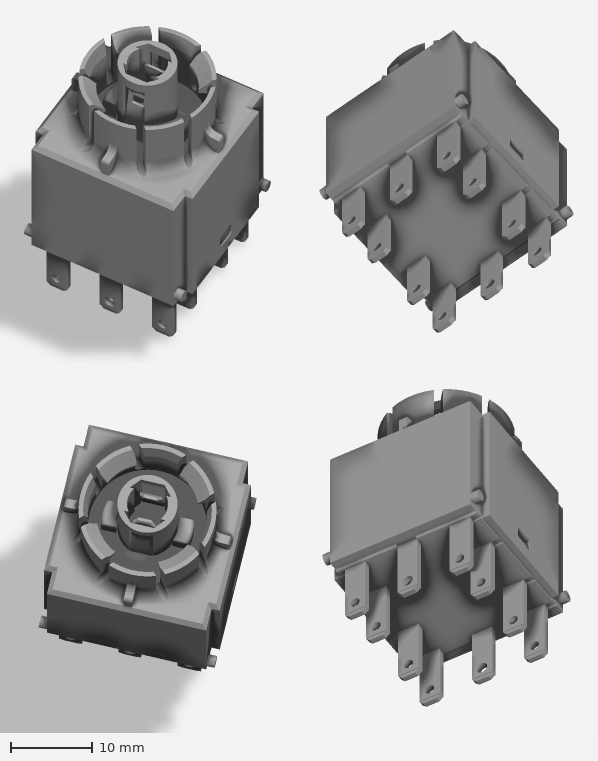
import cadquery as cq
import math

total_height = 37.1
side = 22.2

block_bottom = 8.45
block_top = 26.7
core_half_x = 10.05
notch_half_y = 8.25
top_chamfer_height = 0.52
top_chamfer_inset = 0.6

base_thickness = 0.25
base_half_y = 9.8

pin_diameter = 1.5
pin_y = side / 2 - pin_diameter / 2
pin_z = block_bottom + 1.67

latch_half_width = 1.4
latch_bottom = block_bottom + 1.8
latch_height = 1.8
latch_corner = 0.35
latch_flat_height = 0.75
latch_depth = 0.22
ramp_depth = 0.9

terminal_pitch = 7.5
outer_terminal_y = 8.9
inner_terminal_y = 3.85
inner_terminal_tip = 0.15
terminal_thickness = 0.9
terminal_tip_thickness = 0.7
terminal_chamfer = 0.52
side_terminal_width = 2.93
side_hole_diameter = 1.3
side_hole_z = 1.85
middle_terminal_width = 2.82
middle_hole_diameter = 1.5
middle_hole_z = 1.8

collar_radius = 16.95 / 2
collar_top = 34.28
bore_radius = 14.7 / 2
rim_inner_radius = 7.9
rim_taper_height = 1.85
collar_fillet = 1.52
cup_floor = 26.35
slot_width = 1.05
slot_floor_height = 0.02
slot_offset = 2.95
slot_start = 5.75
diagonal_angles = (45, 135, 225, 315)

hook_radius = 6.3
hook_tip_height = 0.6
hook_half_angle = 19.7

rib_width = 1.1
rib_root_overlap = 0.37
rib_reach = 10.45
rib_top = 29.0
rib_sweep_radius = 1.22
rib_corner_radius = 0.5

stem_radius = 7.4 / 2
stem_bore_radius = 2.52
stem_bore_half_y = 2.82
key_half_y = 1.52
key_wide_half = 2.6
key_narrow_half = 1.5
window_half_width = 1.52
window_top = 35.7

stop_inner_radius = 3.9
stop_reach = 5.7
stop_half_width = 1.6
stop_top = 28.83
stop_round = 0.55
stop_corner_round = 0.52
stop_side_round = 0.2
stop_clearance = 0.05

leaf_half_width = 1.4
leaf_tip_half_width = 0.8
leaf_thickness = 0.37
leaf_foot_y = 3.4
leaf_bend_y = 2.05
leaf_tip_y = 1.67
leaf_tip_z = 34.8
leaf_bend_z = leaf_tip_z - (leaf_half_width - leaf_tip_half_width)
leaf_hole_bottom = 31.72
leaf_hole_height = 1.3

arc_mid_inset = 1 - math.sqrt(0.5)


def box(x_range, y_range, z_range):
    """Axis-aligned box given by its lower and upper limits."""
    sizes = [high - low for low, high in (x_range, y_range, z_range)]
    return cq.Workplane("XY").box(*sizes, centered=False).translate((x_range[0], y_range[0], z_range[0]))


def both_sides(body, plane):
    """The body together with its mirror image."""
    return body.union(body.mirror(plane))


def turned(body, angle):
    """The body turned about the Z axis, in degrees."""
    return body.rotate((0, 0, 0), (0, 0, 1), angle)


def prism_xz(points, y_low, y_high):
    """Polygon in X and Z, extruded along Y."""
    return cq.Workplane("XZ", origin=(0, y_high, 0)).polyline(points).close().extrude(y_high - y_low)


def prism_yz(points, half_width):
    """Polygon in Y and Z, extruded along X to both sides of the middle."""
    return cq.Workplane("YZ").polyline(points).close().extrude(half_width, both=True)


def chamfered_slab(half_x, half_y):
    """Rectangular block with a chamfer around its top face."""
    shoulder = block_top - top_chamfer_height
    lower = box((-half_x, half_x), (-half_y, half_y), (block_bottom, shoulder))
    inset = top_chamfer_inset
    chamfer = (
        cq.Workplane("XY").workplane(offset=shoulder).rect(2 * half_x, 2 * half_y)
        .workplane(offset=top_chamfer_height).rect(2 * (half_x - inset), 2 * (half_y - inset))
        .loft(ruled=True)
    )
    return lower.union(chamfer)


def latch_recess():
    """Shallow recess in the -X face, with a ramp that deepens towards its top."""
    face = -side / 2
    top = latch_bottom + latch_height
    outline = (
        cq.Workplane("YZ", origin=(face, 0, 0))
        .moveTo(-latch_half_width, top)
        .lineTo(latch_half_width, top)
        .lineTo(latch_half_width, latch_bottom + latch_corner)
        .lineTo(latch_half_width - latch_corner, latch_bottom)
        .lineTo(-latch_half_width + latch_corner, latch_bottom)
        .lineTo(-latch_half_width, latch_bottom + latch_corner)
        .close()
        .extrude(latch_depth)
    )
    ramp_points = [
        (face, latch_bottom + latch_flat_height),
        (face + latch_depth, latch_bottom + latch_flat_height),
        (face + ramp_depth, top),
        (face, top),
    ]
    return outline.union(prism_xz(ramp_points, -latch_half_width, latch_half_width))


def terminal_notches():
    """Notches that open the base plate from its rim to the terminals."""
    z_range = (block_bottom - base_thickness, block_bottom)
    half_thickness = terminal_thickness / 2
    half_width = middle_terminal_width / 2
    middle = box((-half_width, half_width), (-side / 2, -outer_terminal_y), z_range)
    notches = both_sides(middle, "XZ")
    for y in (-outer_terminal_y, -inner_terminal_y, inner_terminal_y, outer_terminal_y):
        rim = box((-side / 2, -terminal_pitch), (y - half_thickness, y + half_thickness), z_range)
        notches = notches.union(both_sides(rim, "YZ"))
    return notches


def housing():
    """Notched block with base plate, corner pins and latch recesses."""
    body = chamfered_slab(core_half_x, side / 2).union(chamfered_slab(side / 2, notch_half_y))
    base_z = block_bottom - base_thickness
    foot_y = base_half_y - base_thickness
    base_points = [
        (-base_half_y, block_bottom), (base_half_y, block_bottom), (foot_y, base_z), (-foot_y, base_z),
    ]
    body = body.union(prism_yz(base_points, core_half_x).cut(terminal_notches()))
    for y in (-pin_y, pin_y):
        pin = cq.Workplane("YZ").center(y, pin_z).circle(pin_diameter / 2).extrude(side / 2, both=True)
        body = body.union(pin)
    return body.cut(both_sides(latch_recess(), "YZ"))


def terminal(x, y, width, hole_diameter, hole_z, tip):
    """Flat blade with a thinned, chamfered tip and a cross hole."""
    half = width / 2
    shoulder = tip + terminal_chamfer
    blade = box(
        (-half, half), (-terminal_thickness / 2, terminal_thickness / 2), (shoulder, block_bottom)
    )
    tip_points = [
        (-half, shoulder), (half, shoulder), (half - terminal_chamfer, tip), (-half + terminal_chamfer, tip),
    ]
    blade = blade.union(prism_xz(tip_points, -terminal_tip_thickness / 2, terminal_tip_thickness / 2))
    hole = (
        cq.Workplane("XZ").center(0, tip + hole_z)
        .circle(hole_diameter / 2).extrude(terminal_thickness, both=True)
    )
    return blade.cut(hole).translate((x, y, 0))


def side_terminal(x, y, tip):
    """Blade of one of the two side rows."""
    return terminal(x, y, side_terminal_width, side_hole_diameter, side_hole_z, tip)


def terminals():
    """Four blades in each side row and two in the middle row."""
    blades = cq.Workplane("XY")
    for y_sign in (-1, 1):
        y = y_sign * outer_terminal_y
        blades = blades.union(terminal(0, y, middle_terminal_width, middle_hole_diameter, middle_hole_z, 0))
        for x in (-terminal_pitch, terminal_pitch):
            blades = blades.union(side_terminal(x, y, 0))
            blades = blades.union(side_terminal(x, y_sign * inner_terminal_y, inner_terminal_tip))
    return blades


def collar_slot(offset):
    """Round-bottomed slot along +X, shifted sideways by the offset."""
    radius = slot_width / 2
    length = collar_radius + collar_fillet - slot_start
    axis_z = block_top + slot_floor_height + radius
    groove = cq.Workplane("YZ", origin=(slot_start, offset, axis_z)).circle(radius).extrude(length)
    above = box(
        (slot_start, slot_start + length), (offset - radius, offset + radius), (axis_z, collar_top)
    )
    return groove.union(above)


def hook():
    """Inward hook of one collar segment, centred on +X."""
    slope_bottom = collar_top - (rim_inner_radius - hook_radius)
    wall_radius = (bore_radius + collar_radius) / 2
    profile = [
        (rim_inner_radius, collar_top),
        (hook_radius, slope_bottom),
        (hook_radius, slope_bottom - hook_tip_height),
        (wall_radius, slope_bottom - hook_tip_height),
    ]
    return (
        cq.Workplane("XZ").polyline(profile).close()
        .revolve(2 * hook_half_angle, (0, 0, 0), (0, 1, 0))
    )


def collar():
    """Flared ring split into eight segments, four of them with hooks."""
    flare_radius = collar_radius + collar_fillet
    flare_mid = collar_fillet * arc_mid_inset
    ring = (
        cq.Workplane("XZ")
        .moveTo(bore_radius, cup_floor)
        .lineTo(flare_radius, cup_floor)
        .lineTo(flare_radius, block_top)
        .threePointArc(
            (collar_radius + flare_mid, block_top + flare_mid), (collar_radius, block_top + collar_fillet)
        )
        .lineTo(collar_radius, collar_top)
        .lineTo(rim_inner_radius, collar_top)
        .lineTo(bore_radius, collar_top - rim_taper_height)
        .close()
        .revolve(360, (0, 0, 0), (0, 1, 0))
    )
    slots = collar_slot(slot_offset).union(collar_slot(-slot_offset))
    for angle in diagonal_angles:
        ring = ring.union(turned(hook(), angle - hook_half_angle))
        ring = ring.cut(turned(slots, angle))
    return ring


def rib():
    """Rib along +X with a rounded outer corner and a concave sweep up the collar."""
    root = collar_radius - rib_root_overlap
    sweep = rib_sweep_radius
    sweep_mid = sweep * arc_mid_inset
    corner_mid = rib_corner_radius * arc_mid_inset
    return (
        cq.Workplane("XZ")
        .moveTo(root, block_top)
        .lineTo(rib_reach, block_top)
        .lineTo(rib_reach, rib_top - rib_corner_radius)
        .threePointArc(
            (rib_reach - corner_mid, rib_top - corner_mid), (rib_reach - rib_corner_radius, rib_top)
        )
        .lineTo(collar_radius + sweep, rib_top)
        .threePointArc((collar_radius + sweep_mid, rib_top + sweep_mid), (collar_radius, rib_top + sweep))
        .lineTo(root, rib_top + sweep)
        .close()
        .extrude(rib_width / 2, both=True)
    )


def stem():
    """Hollow stem with a keyed bore and a window on its -Y and +Y sides."""
    height = total_height - cup_floor
    start = cq.Workplane("XY").workplane(offset=cup_floor)
    body = start.circle(stem_radius).extrude(height)
    round_bore = start.circle(stem_bore_radius).extrude(height)
    round_bore = round_bore.intersect(
        box((-side, side), (-key_half_y, key_half_y), (cup_floor, total_height))
    )
    key_points = [
        (-key_wide_half, key_half_y), (key_wide_half, key_half_y),
        (key_narrow_half, stem_bore_half_y), (-key_narrow_half, stem_bore_half_y),
    ]
    key = start.polyline(key_points).close().extrude(height)
    window = box(
        (-window_half_width, window_half_width), (-stem_radius, stem_radius), (cup_floor, window_top)
    )
    return body.cut(round_bore).cut(both_sides(key, "XZ")).cut(window)


def stops():
    """Two stop blocks beside the stem, with curved ends and rounded edges."""
    round_mid = stop_round * arc_mid_inset
    ring = (
        cq.Workplane("XZ")
        .moveTo(stop_inner_radius, cup_floor)
        .lineTo(stop_reach, cup_floor)
        .lineTo(stop_reach, stop_top - stop_round)
        .threePointArc((stop_reach - round_mid, stop_top - round_mid), (stop_reach - stop_round, stop_top))
        .lineTo(stop_inner_radius, stop_top)
        .close()
        .revolve(360, (0, 0, 0), (0, 1, 0))
    )
    bar_reach = stop_reach + stop_clearance
    bar = (
        box((-bar_reach, bar_reach), (-stop_half_width, stop_half_width), (cup_floor, stop_top))
        .edges("|Z").fillet(stop_corner_round)
        .faces(">Z").edges().fillet(stop_side_round)
    )
    return ring.intersect(bar)


def leaf_contact():
    """Leaning leaf in the -Y window, with trimmed upper corners and a rectangular hole."""
    outer = [(-leaf_foot_y, cup_floor), (-leaf_bend_y, leaf_bend_z), (-leaf_tip_y, leaf_tip_z)]
    inner = [(y + leaf_thickness, z) for y, z in reversed(outer)]
    leaf = prism_yz(outer + inner, leaf_half_width)
    front = [
        (-leaf_half_width, cup_floor), (leaf_half_width, cup_floor), (leaf_half_width, leaf_bend_z),
        (leaf_tip_half_width, leaf_tip_z), (-leaf_tip_half_width, leaf_tip_z),
        (-leaf_half_width, leaf_bend_z),
    ]
    leaf = leaf.intersect(prism_xz(front, -stem_radius, 0))
    hole = box(
        (-leaf_tip_half_width, leaf_tip_half_width), (-stem_radius, 0),
        (leaf_hole_bottom, leaf_hole_bottom + leaf_hole_height),
    )
    return leaf.cut(hole)


cup = (
    cq.Workplane("XY").workplane(offset=cup_floor)
    .circle(bore_radius).extrude(block_top - cup_floor)
)
result = housing().cut(cup).union(terminals()).union(collar())
for angle in (0, 90, 180, 270):
    result = result.union(turned(rib(), angle))
result = result.union(stem())
result = result.union(stops())
result = result.union(both_sides(leaf_contact(), "XZ"))